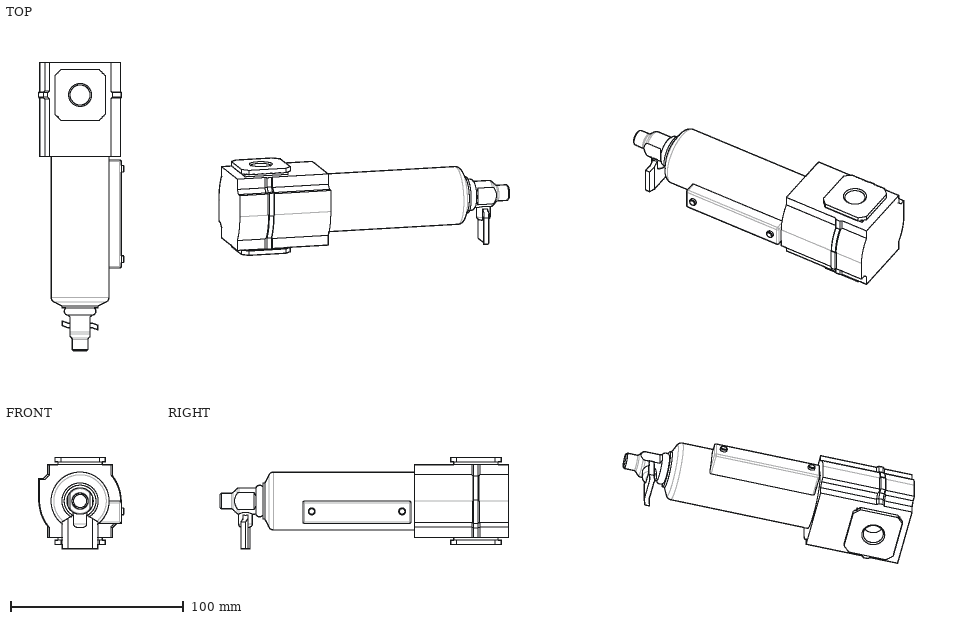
import cadquery as cq
import math


overall_length = 166.95
overall_height = 52.83

head_length = 54.5
head_rear = 18.85
head_front = head_rear - head_length
head_half_height = 21.1
head_half_width = 17.8
bulge_radius = 23.45
bulge_top = 12.5
bulge_root_bevel = 2.5

band_width = 5.0
band_half_width = 18.8
band_flat = 24.1
band_radius = 23.8
band_top = 13.0
band_step = 0.5
band_chamfer = 1.2

flange_size = 29.3
flange_corner = 3.5
flange_top = 25.2
flange_thickness = 2.6
neck_size = 25.7
port_diameter = 11.6
port_mouth_diameter = 13.3
port_depth = 12.0

bowl_radius = 16.8
bowl_shoulder_radius = 2.9
bowl_cone_angle = math.radians(63)
rim_radius = 10.5
rim_thickness = 1.1
bowl_length = 87.6
bowl_end = head_front - bowl_length

gauge_inner_x = 8.0
gauge_outer_x = 23.9
gauge_height = 13.0
gauge_gap = 1.9
gauge_length = 62.6
gauge_round = 1.0
screw_diameter = 4.0
screw_face_x = 25.46
screw_pitch = 52.3
screw_z = -6.0
screw_chamfer = 0.4

drain_end = head_rear - overall_length
collar_length = 4.1
collar_root_radius = 8.2
collar_radius = 9.2
barrel_radius = 7.65
barrel_flat = 5.85
flat_ramp = 1.2
spigot_radius = 4.6
cone_to_tip = 10.2
spigot_chamfer = 0.8
shoulder_round = 1.7
spigot_root_round = 1.2
stem_radius = 4.05
stem_bottom = -15.2
stem_round = 2.0
stem_to_tip = 14.75
stem_y = drain_end + stem_to_tip

wing_half_width = 10.35
wing_bend_x = 7.05
wing_offset = 1.25
wing_thickness = 2.8
wing_bottom = flange_top - overall_height
wing_shoulder_z = -12.1
wing_top_z = -8.2
wing_top_half_width = 4.0


def across_y(y_start):
    """Sketch plane facing -Y, with local x along X and local y along Z."""
    return cq.Workplane("XZ", origin=(0, y_start, 0))


def side_profile(half_width, flat_x, radius, top_z, step, y_start, length):
    """Head cross-section: each bulge is square in one quarter and round in the other."""
    bevel = bulge_root_bevel
    arc_end_z = math.sqrt(radius ** 2 - half_width ** 2)
    arc_start_x = math.sqrt(radius ** 2 - step ** 2)
    mid_angle = (math.atan2(arc_end_z, half_width) + math.atan2(step, arc_start_x)) / 2
    mid = (radius * math.cos(mid_angle), radius * math.sin(mid_angle))
    profile = across_y(y_start).moveTo(-half_width, head_half_height)
    for side in (-1, 1):
        profile = (
            profile.lineTo(side * half_width, -side * (top_z + bevel))
            .lineTo(side * (half_width + bevel), -side * top_z)
            .lineTo(side * flat_x, -side * top_z)
            .lineTo(side * flat_x, side * step)
        )
        if step > 0:
            profile = profile.lineTo(side * arc_start_x, side * step)
        profile = (
            profile.threePointArc(
                (side * mid[0], side * mid[1]), (side * half_width, side * arc_end_z)
            )
            .lineTo(side * half_width, side * head_half_height)
        )
        if side < 0:
            profile = profile.lineTo(half_width, -head_half_height)
    return profile.close().extrude(length)


def port_flange(side):
    """Square neck and chamfered flange on the upper (side=1) or lower (side=-1) face."""
    flange_bottom = flange_top - flange_thickness
    neck = cq.Workplane("XY").workplane(offset=side * head_half_height).rect(neck_size, neck_size)
    neck = neck.extrude(side * (flange_bottom - head_half_height))
    flange = cq.Workplane("XY").workplane(offset=side * flange_bottom).rect(flange_size, flange_size)
    flange = flange.extrude(side * flange_thickness).edges("|Z").chamfer(flange_corner)
    return neck.union(flange)


def port_hole(side):
    """Blind port with a countersunk mouth."""
    port_r = port_diameter / 2
    mouth_r = port_mouth_diameter / 2
    bottom_z = flange_top - port_depth
    profile = [
        (0, side * bottom_z),
        (port_r, side * bottom_z),
        (port_r, side * (flange_top - (mouth_r - port_r))),
        (mouth_r, side * flange_top),
        (0, side * flange_top),
    ]
    return cq.Workplane("XZ").polyline(profile).close().revolve(360, (0, 0, 0), (0, 1, 0))


def make_head():
    head = side_profile(
        head_half_width, bulge_radius, bulge_radius, bulge_top, 0, head_rear, head_length
    )
    band = side_profile(
        band_half_width, band_flat, band_radius, band_top, band_step, band_width / 2, band_width
    )
    band = band.faces("<Y or >Y").edges("not(<Z or >Z)").chamfer(band_chamfer)
    head = head.union(band)
    for side in (1, -1):
        head = head.union(port_flange(side)).cut(port_hole(side))
    return head


def make_bowl():
    cone_start_r = bowl_radius - bowl_shoulder_radius * (1 - math.cos(bowl_cone_angle))
    rim_start_y = bowl_end + rim_thickness
    cone_start_y = rim_start_y + (cone_start_r - rim_radius) / math.tan(bowl_cone_angle)
    shoulder_y = cone_start_y + bowl_shoulder_radius * math.sin(bowl_cone_angle)
    half_angle = bowl_cone_angle / 2
    shoulder_mid = (
        bowl_radius - bowl_shoulder_radius * (1 - math.cos(half_angle)),
        shoulder_y - bowl_shoulder_radius * math.sin(half_angle),
    )
    bowl = (
        cq.Workplane("XY")
        .moveTo(0, head_front)
        .lineTo(bowl_radius, head_front)
        .lineTo(bowl_radius, shoulder_y)
        .threePointArc(shoulder_mid, (cone_start_r, cone_start_y))
        .lineTo(rim_radius, rim_start_y)
        .lineTo(rim_radius, bowl_end)
        .lineTo(0, bowl_end)
        .close()
        .revolve(360, (0, 0, 0), (0, 1, 0))
    )
    gauge_mid_y = head_front - gauge_gap - gauge_length / 2
    gauge = cq.Workplane("XY").box(gauge_outer_x - gauge_inner_x, gauge_length, gauge_height)
    gauge = gauge.edges("not <X").fillet(gauge_round)
    gauge = gauge.translate(((gauge_outer_x + gauge_inner_x) / 2, gauge_mid_y, -gauge_height / 2))
    screws = (
        cq.Workplane("YZ", origin=(gauge_outer_x - gauge_round, gauge_mid_y, screw_z))
        .pushPoints([(-screw_pitch / 2, 0), (screw_pitch / 2, 0)])
        .circle(screw_diameter / 2)
        .extrude(screw_face_x - gauge_outer_x + gauge_round)
        .faces(">X")
        .chamfer(screw_chamfer)
    )
    return bowl.union(gauge).union(screws)


def wing_handle():
    """S-bent plate, bent in the XY plane, with its upper corners cut to sloping shoulders."""
    half_t = wing_thickness / 2
    bends = [
        (-wing_half_width, wing_offset),
        (-wing_bend_x, 0),
        (wing_bend_x, 0),
        (wing_half_width, -wing_offset),
    ]
    front_side = [(x, stem_y + y - half_t) for x, y in bends]
    back_side = [(x, stem_y + y + half_t) for x, y in reversed(bends)]
    plate = cq.Workplane("XY", origin=(0, 0, wing_bottom)).polyline(front_side + back_side).close()
    plate = plate.extrude(wing_top_z - wing_bottom)
    depth = wing_thickness + 2 * wing_offset
    outline = [
        (-wing_half_width, wing_bottom),
        (wing_half_width, wing_bottom),
        (wing_half_width, wing_shoulder_z),
        (wing_top_half_width, wing_top_z),
        (-wing_top_half_width, wing_top_z),
        (-wing_half_width, wing_shoulder_z),
    ]
    trim = across_y(stem_y + depth / 2).polyline(outline).close().extrude(depth)
    return plate.intersect(trim)


def round_circle(body, circle_y, radius):
    """Fillet the circular edge that is centred on the Y axis at circle_y."""
    circle = cq.selectors.NearestToPointSelector((0, circle_y, 0))
    return body.edges("%CIRCLE").edges(circle).fillet(radius)


def make_drain():
    barrel_start_y = bowl_end - collar_length
    cone_start_y = drain_end + cone_to_tip
    spigot_start_y = cone_start_y - (barrel_radius - spigot_radius)
    collar = (
        cq.Workplane("XY")
        .moveTo(0, bowl_end)
        .lineTo(collar_root_radius, bowl_end)
        .threePointArc(
            (collar_radius, bowl_end - collar_length / 2), (barrel_radius, barrel_start_y)
        )
        .lineTo(0, barrel_start_y)
        .close()
        .revolve(360, (0, 0, 0), (0, 1, 0))
    )
    barrel_profile = [
        (0, barrel_start_y),
        (barrel_radius, barrel_start_y),
        (barrel_radius, cone_start_y),
        (spigot_radius, spigot_start_y),
        (spigot_radius, drain_end + spigot_chamfer),
        (spigot_radius - spigot_chamfer, drain_end),
        (0, drain_end),
    ]
    barrel = cq.Workplane("XY").polyline(barrel_profile).close().revolve(360, (0, 0, 0), (0, 1, 0))
    barrel = round_circle(barrel, cone_start_y, shoulder_round)
    barrel = round_circle(barrel, spigot_start_y, spigot_root_round)
    flat_outline = [
        (barrel_flat + flat_ramp, barrel_start_y),
        (barrel_flat, barrel_start_y - flat_ramp),
        (barrel_flat, drain_end),
        (-barrel_flat, drain_end),
        (-barrel_flat, barrel_start_y - flat_ramp),
        (-barrel_flat - flat_ramp, barrel_start_y),
    ]
    flats = cq.Workplane("XY").polyline(flat_outline).close().extrude(barrel_radius, both=True)
    stem = cq.Workplane("XY", origin=(0, stem_y, 0)).circle(stem_radius).extrude(stem_bottom)
    stem = stem.faces("<Z").edges().fillet(stem_round)
    return collar.union(barrel.intersect(flats)).union(stem).union(wing_handle())


head = make_head()
bowl = make_bowl()
drain = make_drain()
result = cq.Compound.makeCompound([head.val(), bowl.val(), drain.val()])